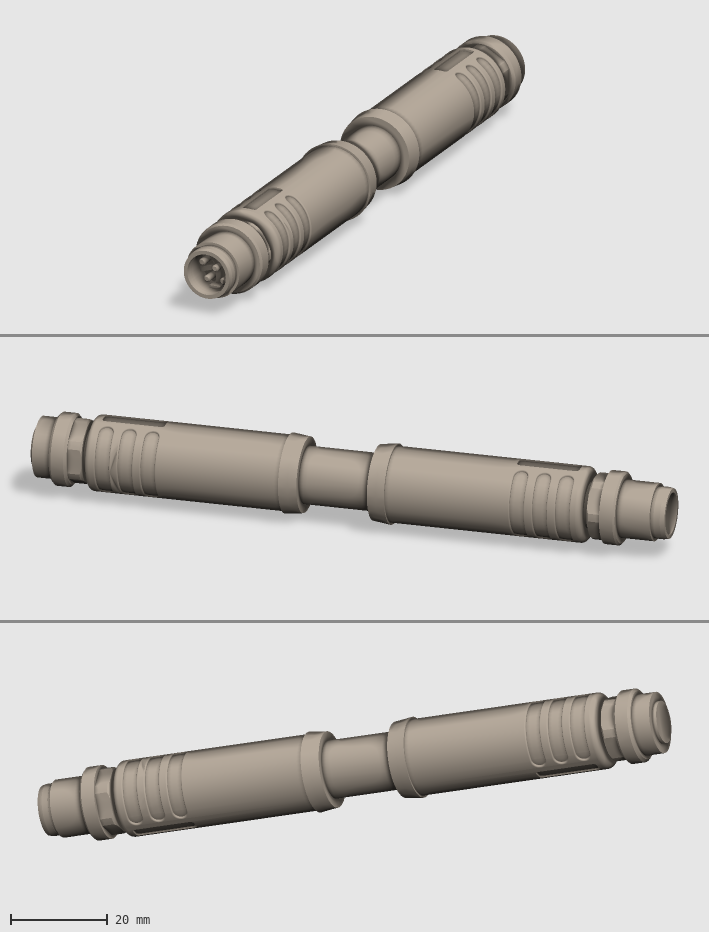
import cadquery as cq
import math

LENGTH = 136.8
END_Y = LENGTH / 2

CABLE_DIA = 12.2
GRIP_DIA = 16.0
COLLAR_DIA = 17.0
COLLAR_LENGTH = 3.8
GRIP_LENGTH = 45.8
GRIP_END_ROUND = 1.1
FEMALE_GRIP_START = 12.5
MALE_GRIP_START = 17.5

SLOT_WIDTH = 3.0
SLOT_PITCH = 4.9
SLOT_COUNT = 3
FIRST_SLOT_OFFSET = 3.8
SLOT_TIP_X = 3.0
SLOT_FLOOR_DIA = 15.2
SLOT_RIM_ROUND = 0.3
TOLERANCE = 0.01
PANEL_WIDTH = 3.1
PANEL_DEPTH = 0.5
PANEL_CORNER_RADIUS = 0.7

NECK_SMALL_DIA = 8.9
NECK_LARGE_DIA = 9.8
HEX_FLATS = 12.9
HEX_CORNER_DIA = 14.0
HEX_CHAMFER = 0.4
RING_DIA = 15.5
RING_CHAMFER = 0.5

FEMALE_INSERT_DIA = 8.9
FEMALE_INSERT_LENGTH = 0.8
FEMALE_SLEEVE_DIA = 12.9
FEMALE_RING_START = 4.7
FEMALE_HEX_START = 8.5
FEMALE_HEX_END = 11.5

MALE_SLEEVE_DIA = 12.2
MALE_TIP_DIA = 11.0
MALE_TIP_END_DIA = 10.5
MALE_GROOVE_DIA = 10.8
MALE_TAPER_LENGTH = 1.0
MALE_GROOVE_START = 2.3
MALE_SLEEVE_START = 3.0
MALE_RING_START = 10.1
MALE_RING_CHAMFER = 0.4
MALE_HEX_START = 13.4
MALE_HEX_END = 16.4

SOCKET_DIA = 8.9
SOCKET_DEPTH = 6.8
PIN_DIA = 1.5
PIN_CIRCLE_RADIUS = 3.1
PIN_COUNT = 5
PIN_TIP_DEPTH = 3.8
PIN_TIP_CHAMFER = 0.3
RIB_WIDTH = 1.0
RIB_TIP_DEPTH = 5.5
KEY_WIDTH = 2.5
KEY_HEIGHT = 0.7


def cylinder(diameter, start, length):
    """Cylinder on the Y axis from y = start towards +Y."""
    plane = cq.Workplane("XZ", origin=(0, start, 0))
    return plane.circle(diameter / 2).extrude(-length)


def cone(start_diameter, end_diameter, start, length):
    """Truncated cone on the Y axis from y = start towards +Y."""
    profile = [
        (0, start),
        (start_diameter / 2, start),
        (end_diameter / 2, start + length),
        (0, start + length),
    ]
    return cq.Workplane("XY").polyline(profile).close().revolve(360, (0, 0), (0, 1))


def grip():
    """Grip body with its outer face at y = 0 and its collar at the +Y end."""
    radius = GRIP_DIA / 2
    collar_start = GRIP_LENGTH - COLLAR_LENGTH
    body = cylinder(GRIP_DIA, 0, collar_start).faces("<Y").edges().fillet(GRIP_END_ROUND)
    body = body.cut(side_slots())
    body = body.newObject(slot_rims(body)).fillet(SLOT_RIM_ROUND)
    body = body.union(cone(COLLAR_DIA, GRIP_DIA, collar_start, COLLAR_LENGTH))

    panel_length = SLOT_WIDTH + 2 * SLOT_RIM_ROUND + (SLOT_COUNT - 1) * SLOT_PITCH
    panel_centre = FIRST_SLOT_OFFSET + (SLOT_COUNT - 1) * SLOT_PITCH / 2
    for side in (-1, 1):
        panel = cq.Workplane("XY").box(PANEL_WIDTH, panel_length, 2 * PANEL_DEPTH)
        panel = panel.edges("|Z").fillet(PANEL_CORNER_RADIUS)
        body = body.cut(panel.translate((0, panel_centre, side * radius)))
    return body


def side_slots():
    """Round-ended slots wrapping both flanks, down to a round floor."""
    slot_length = COLLAR_DIA
    slot_centre_x = SLOT_TIP_X + slot_length / 2
    centres = [
        (side * slot_centre_x, FIRST_SLOT_OFFSET + index * SLOT_PITCH)
        for side in (-1, 1)
        for index in range(SLOT_COUNT)
    ]
    slots = (
        cq.Workplane("XY")
        .pushPoints(centres)
        .slot2D(slot_length, SLOT_WIDTH)
        .extrude(COLLAR_DIA / 2, both=True)
    )
    return slots.cut(cylinder(SLOT_FLOOR_DIA, 0, GRIP_LENGTH))


def slot_rims(body):
    """Curved edges where the slot walls meet the round outside of the grip."""
    first_y = GRIP_END_ROUND + TOLERANCE
    last_y = FIRST_SLOT_OFFSET + SLOT_COUNT * SLOT_PITCH
    rims = []
    for edge in body.edges().vals():
        point = edge.positionAt(0.5)
        on_outside = math.isclose(math.hypot(point.x, point.z), GRIP_DIA / 2, abs_tol=TOLERANCE)
        beside_slots = first_y < edge.Center().y < last_y
        if on_outside and beside_slots and edge.geomType() != "LINE":
            rims.append(edge)
    return rims


def hex_nut(start, length, turn, chamfered_face):
    """Hexagon with its corners turned round and one end chamfered."""
    across_corners = HEX_FLATS / math.cos(math.pi / 6)
    plane = cq.Workplane("XZ", origin=(0, start, 0))
    prism = plane.polygon(6, across_corners).extrude(-length)
    prism = prism.rotate((0, 0, 0), (0, 1, 0), turn)
    blank = cylinder(HEX_CORNER_DIA, start, length)
    return prism.intersect(blank.faces(chamfered_face).chamfer(HEX_CHAMFER))


def female_coupling():
    grip_y = END_Y - FEMALE_GRIP_START
    hex_y = END_Y - FEMALE_HEX_END
    ring_y = END_Y - FEMALE_HEX_START
    sleeve_y = END_Y - FEMALE_RING_START
    insert_y = END_Y - FEMALE_INSERT_LENGTH
    ring = cylinder(RING_DIA, ring_y, sleeve_y - ring_y).edges("%CIRCLE").chamfer(RING_CHAMFER)
    return (
        cone(NECK_SMALL_DIA, NECK_LARGE_DIA, grip_y, hex_y - grip_y)
        .union(hex_nut(hex_y, ring_y - hex_y, 30, "<Y"))
        .union(ring)
        .union(cylinder(FEMALE_SLEEVE_DIA, sleeve_y, insert_y - sleeve_y))
        .union(cylinder(FEMALE_INSERT_DIA, insert_y, FEMALE_INSERT_LENGTH))
    )


def male_coupling():
    tip_y = -END_Y
    groove_y = tip_y + MALE_GROOVE_START
    sleeve_y = tip_y + MALE_SLEEVE_START
    ring_y = tip_y + MALE_RING_START
    hex_y = tip_y + MALE_HEX_START
    neck_y = tip_y + MALE_HEX_END
    grip_y = tip_y + MALE_GRIP_START
    straight_y = tip_y + MALE_TAPER_LENGTH
    ring = cylinder(RING_DIA, ring_y, hex_y - ring_y).faces("<Y").chamfer(MALE_RING_CHAMFER)
    shell = (
        cone(MALE_TIP_END_DIA, MALE_TIP_DIA, tip_y, MALE_TAPER_LENGTH)
        .union(cylinder(MALE_TIP_DIA, straight_y, groove_y - straight_y))
        .union(cylinder(MALE_GROOVE_DIA, groove_y, sleeve_y - groove_y))
        .union(cylinder(MALE_SLEEVE_DIA, sleeve_y, ring_y - sleeve_y))
        .union(ring)
        .union(hex_nut(hex_y, neck_y - hex_y, 0, ">Y"))
        .union(cone(NECK_SMALL_DIA, NECK_LARGE_DIA, neck_y, grip_y - neck_y))
    )
    return shell.cut(cylinder(SOCKET_DIA, tip_y, SOCKET_DEPTH)).union(contacts())


def contacts():
    """Pins around a central pin, the walls between them, and the coding key."""
    floor_y = SOCKET_DEPTH - END_Y
    pin_y = PIN_TIP_DEPTH - END_Y
    rib_y = RIB_TIP_DEPTH - END_Y
    pin = cylinder(PIN_DIA, pin_y, floor_y - pin_y).faces("<Y").chamfer(PIN_TIP_CHAMFER)
    outer_pin = pin.translate((0, 0, PIN_CIRCLE_RADIUS))
    rib = (
        cq.Workplane("XY")
        .box(RIB_WIDTH, floor_y - rib_y, SOCKET_DIA / 2)
        .translate((0, (rib_y + floor_y) / 2, -SOCKET_DIA / 4))
    )
    key = (
        cq.Workplane("XY")
        .box(KEY_WIDTH, floor_y - pin_y, 2 * KEY_HEIGHT)
        .translate((0, (pin_y + floor_y) / 2, -SOCKET_DIA / 2))
    )
    insert = pin.union(key)
    for index in range(PIN_COUNT):
        turn = index * 360 / PIN_COUNT
        for feature in (outer_pin, rib):
            insert = insert.union(feature.rotate((0, 0, 0), (0, 1, 0), turn))
    return insert


male_grip_y = MALE_GRIP_START - END_Y
female_grip_y = END_Y - FEMALE_GRIP_START
male_grip = grip().translate((0, male_grip_y, 0))
female_grip = grip().mirror("XZ").translate((0, female_grip_y, 0))
cable = cylinder(
    CABLE_DIA,
    male_grip_y + GRIP_LENGTH,
    female_grip_y - male_grip_y - 2 * GRIP_LENGTH,
)

result = (
    cable.union(male_grip)
    .union(female_grip)
    .union(male_coupling())
    .union(female_coupling())
)